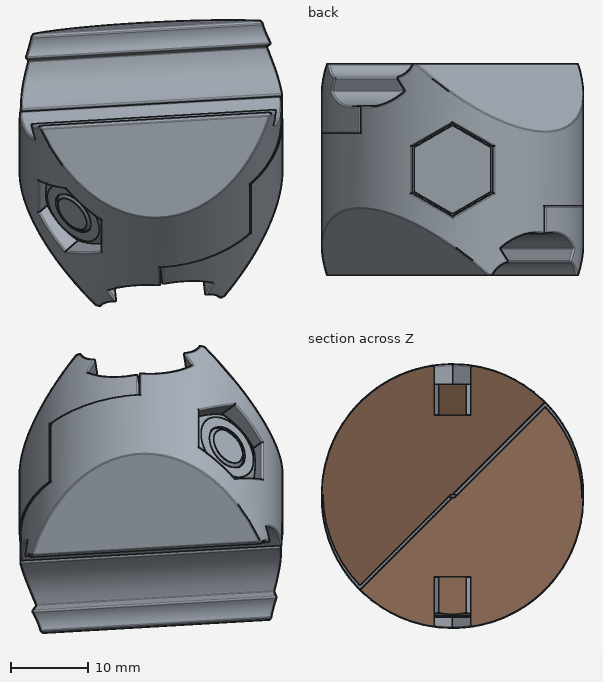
import cadquery as cq
import math

clamp_diameter = 34.0
clamp_height = 27.5
half_gap = 0.155
step_height = 4.7
edge_radius = 0.2
corner_radius = 0.1

seat_radius = 7.7
seat_center_u = 1.48
seat_center_z = 15.9
seat_end_z = 10.23
lip_u = 5.55
lip_z = 12.0
mouth_radius = 2.85
mouth_half_width = 7.65
shoulder_half_width = 8.25

shank_diameter = 6.0
shank_tip_diameter = 4.9
shank_end = 15.75
bore_diameter = 6.2
hex_width = 10.0
pocket_width = 10.5
pocket_floor = 10.55
nut_face = 15.55
nut_face_diameter = 8.85
nut_cone_angle = 30.0
head_thickness = 4.0

clamp_radius = clamp_diameter / 2
clamp_top = clamp_height / 2
reach = 2 * clamp_diameter
tolerance = 0.005


def hexagon(width, start, length):
    """Hexagonal prism from Y = start towards +Y, with a corner pointing up."""
    corner_diameter = width / math.cos(math.radians(30))
    prism = cq.Workplane("XZ", origin=(0, start, 0)).polygon(6, corner_diameter).extrude(-length)
    return prism.rotate((0, 0, 0), (0, 1, 0), 30)


def to_bottom(shape):
    """The shape carried from the top of the clamp to its bottom by half a turn about Y."""
    return shape.rotate((0, 0, 0), (0, 1, 0), 180)


def half_channel():
    """One side of the channel along Y, open at the top, from its middle to the slope beside it."""
    middle_z = seat_center_z - math.sqrt(seat_radius**2 - seat_center_u**2)
    seat_end_u = seat_center_u + math.sqrt(seat_radius**2 - (seat_center_z - seat_end_z) ** 2)
    slope_run = clamp_radius
    slope_end_u = shoulder_half_width + slope_run
    channel = (
        cq.Workplane("XZ")
        .moveTo(0, reach)
        .lineTo(0, middle_z)
        .threePointArc((seat_center_u, seat_center_z - seat_radius), (seat_end_u, seat_end_z))
        .lineTo(lip_u, lip_z)
        .radiusArc((mouth_half_width, clamp_top), -mouth_radius)
        .lineTo(mouth_half_width, reach)
        .close()
        .extrude(reach / 2, both=True)
    )
    slope = (
        cq.Workplane("XZ")
        .moveTo(shoulder_half_width, clamp_top)
        .lineTo(slope_end_u, clamp_top - slope_run)
        .lineTo(slope_end_u, clamp_top)
        .close()
        .extrude(reach / 2, both=True)
    )
    return channel.union(slope)


def channel():
    """The channel and its slopes at the top of the clamp, running along the diagonal X = Y."""
    side = half_channel()
    return side.union(side.mirror("YZ")).rotate((0, 0, 0), (0, 0, 1), -45)


def half_space():
    """Space of the front half: the split turns with the channels above and below the steps."""
    middle = cq.Workplane("XY").box(reach, reach, 2 * step_height).translate((0, -reach / 2, 0))
    jaw = (
        cq.Workplane("XY")
        .box(reach, reach, reach, centered=(True, True, False))
        .translate((0, -reach / 2, step_height))
        .rotate((0, 0, 0), (0, 0, 1), 45)
    )
    return middle.union(jaw).union(to_bottom(jaw))


def wall_edges(body):
    """Edges of the round wall, but not along the middle seam or the steps the other half rests on."""
    edges = []
    for edge in body.val().Edges():
        points = [edge.positionAt(share) for share in (0.05, 0.5, 0.95)]
        on_wall = all(abs(math.hypot(p.x, p.y) - clamp_radius) < tolerance for p in points)
        on_seam = all(abs(p.y) < tolerance for p in points)
        on_rest = all(abs(abs(p.z) - step_height) < tolerance and p.y < 0 for p in points)
        if on_wall and not on_seam and not on_rest:
            edges.append(edge)
    return edges


def lengthwise_edges(body):
    """Edges that run along the channels."""
    return body.edges("|(1, 1, 0) or |(1, -1, 0)").vals()


def near_undercut(edge):
    """True for a lengthwise edge in an undercut corner, or beside the fillet of that corner."""
    corner_zone = 3 * corner_radius
    return abs(abs(edge.Center().z) - seat_end_z) < corner_zone


def free_edges(body):
    """Lengthwise edges that stand free: seat middle, lip, mouth and shoulder, and the overhangs' undersides."""
    edges = [edge for edge in lengthwise_edges(body) if not near_undercut(edge)]
    return [edge for edge in edges if abs(edge.Center().z) > step_height + tolerance or edge.Center().y > 0]


def clamp_half():
    """Front half of the clamp; the back half is the same shape turned about Z."""
    top_channel = channel()
    pocket = hexagon(pocket_width, -reach, reach - pocket_floor + half_gap)
    bore = cq.Workplane("XZ").circle(bore_diameter / 2).extrude(reach)
    blank = cq.Workplane("XY").cylinder(clamp_height, clamp_radius).intersect(half_space())
    body = blank.cut(top_channel).cut(to_bottom(top_channel)).cut(pocket)
    undercut_corners = [edge for edge in lengthwise_edges(body) if near_undercut(edge)]
    body = body.newObject(undercut_corners).fillet(corner_radius)
    body = body.newObject(wall_edges(body) + free_edges(body)).fillet(edge_radius)
    return body.cut(bore).translate((0, -half_gap, 0))


def hex_bolt():
    """Bolt with its head in the back pocket and its tip standing out of the nut."""
    tip_chamfer = (shank_diameter - shank_tip_diameter) / 2
    shank = cq.Workplane("XZ", origin=(0, pocket_floor, 0)).circle(shank_diameter / 2)
    shank = shank.extrude(pocket_floor + shank_end).faces("<Y").chamfer(tip_chamfer)
    return shank.union(hexagon(hex_width, pocket_floor, head_thickness))


def hex_nut():
    """Nut in the front pocket, its outer corners cut back by a cone."""
    cone_height = (hex_width - nut_face_diameter / 2) * math.tan(math.radians(nut_cone_angle))
    cone = (
        cq.Workplane("XY")
        .moveTo(shank_diameter / 2, -nut_face)
        .lineTo(nut_face_diameter / 2, -nut_face)
        .lineTo(hex_width, -nut_face + cone_height)
        .lineTo(hex_width, -pocket_floor)
        .lineTo(shank_diameter / 2, -pocket_floor)
        .close()
        .revolve(360, (0, 0, 0), (0, 1, 0))
    )
    return hexagon(hex_width, -nut_face, nut_face - pocket_floor).intersect(cone)


clamp_halves = [clamp_half().rotate((0, 0, 0), (0, 0, 1), angle) for angle in (0, 180)]
bolt = hex_bolt()
nut = hex_nut()

result = cq.Compound.makeCompound([*(half.val() for half in clamp_halves), bolt.val(), nut.val()])